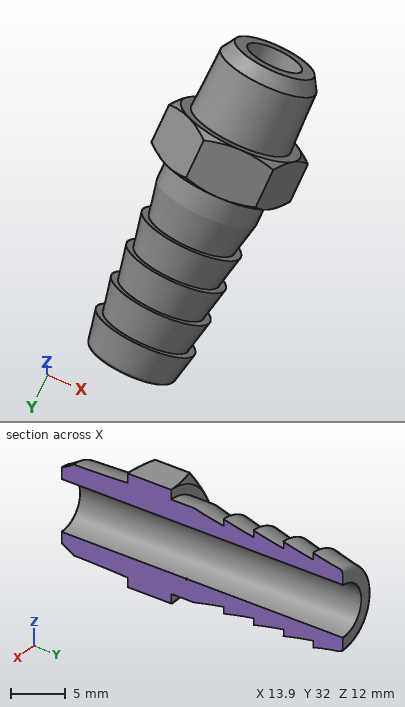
import cadquery as cq
import math

length = 32.0
bore_diameter = 5.5

thread_length = 7.5
thread_base_diameter = 10.0
thread_end_diameter = 9.63
thread_nose_diameter = 8.0
thread_nose_length = 1.38

hex_sides = 6
hex_across_flats = 12.0
hex_thickness = 5.0
hex_chamfer_angle = 30.0

barb_count = 5
barb_pitch = 3.4
barb_large_diameter = 10.0
barb_small_diameter = 8.58
tip_round = 0.5

hex_end = thread_length + hex_thickness
barbs_start = length - barb_count * barb_pitch
hex_across_corners = hex_across_flats / math.cos(math.pi / hex_sides)


def revolve_about_y(radius_length_points):
    """Solid of revolution from (radius, Y) points; the axis closes the outline."""
    return cq.Workplane("XY").polyline(radius_length_points).close().revolve(360, (0, 0), (0, 1))


def make_thread():
    return revolve_about_y([
        (0, 0),
        (thread_nose_diameter / 2, 0),
        (thread_end_diameter / 2, thread_nose_length),
        (thread_base_diameter / 2, thread_length),
        (0, thread_length),
    ])


def make_hexagon():
    prism = (
        cq.Workplane("XZ", origin=(0, thread_length, 0))
        .polygon(hex_sides, hex_across_corners)
        .extrude(-hex_thickness)
    )
    flat_radius = hex_across_flats / 2
    half_thickness = hex_thickness / 2
    middle_radius = flat_radius + half_thickness / math.tan(math.radians(hex_chamfer_angle))
    trim = revolve_about_y([
        (0, thread_length),
        (flat_radius, thread_length),
        (middle_radius, thread_length + half_thickness),
        (flat_radius, hex_end),
        (0, hex_end),
    ])
    return prism.intersect(trim)


def make_hose_tail():
    large_radius = barb_large_diameter / 2
    small_radius = barb_small_diameter / 2
    points = [(0, hex_end), (large_radius, hex_end)]
    for index in range(barb_count):
        barb_base = barbs_start + index * barb_pitch
        points.append((large_radius, barb_base))
        points.append((small_radius, barb_base + barb_pitch))
    points.append((0, length))
    return revolve_about_y(points).faces(">Y").edges().fillet(tip_round)


def make_bore():
    return cq.Workplane("XZ").circle(bore_diameter / 2).extrude(-length)


result = make_thread().union(make_hexagon()).union(make_hose_tail()).cut(make_bore())